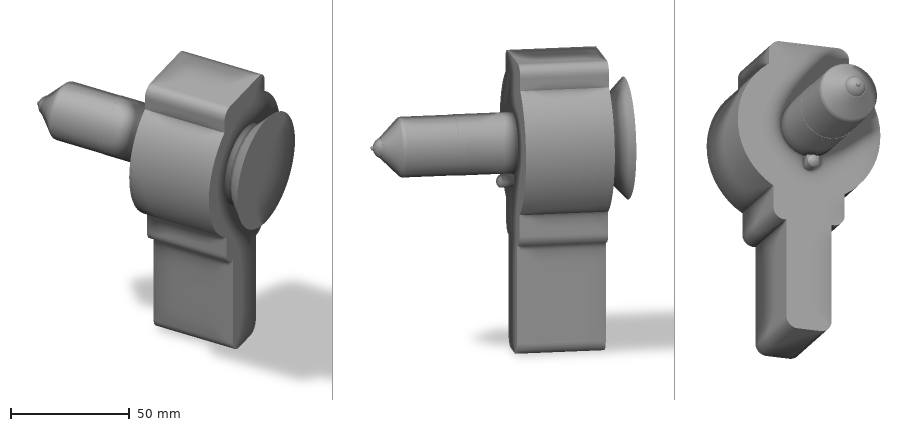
import cadquery as cq
import math


housing_length = 38.0
housing_radius = 32.0
corner_radius = 5.0
top_tab_width = 36.0
top_tab_height = 37.0
boss_width = 32.0
boss_depth = 42.2
handle_width = 20.2
handle_depth = 90.0

bushing_radius = 15.5

nose_radius = 12.8
shaft_radius = 13.0
nose_length = 23.4
nose_shoulder_x = -25.0
nose_blend_radius = 2.0
cone_tip_radius = 4.7
nose_cone_length = nose_radius - cone_tip_radius
cone_base_x = nose_shoulder_x - nose_length
cone_tip_x = cone_base_x - nose_cone_length

ring_width = 1.1
ring_depth = 1.3
ring_front_x = [-23.5, -5.0]

ball_radius = 4.7
ball_center_x = -55.1
nub_radius = 1.0
nub_tip_x = -60.7
nub_round = 0.6

key_radius = 2.7
key_center_z = -16.5
key_block_length = 5.0
key_neck_length = 0.8
key_dome_height = 1.4

flange_radius = 17.9
flange_length = 2.5
knob_rear_radius = 25.9
knob_cone_length = 7.7


def disc(radius, x_start, length):
    """Cylinder on the shaft axis, running toward +X from x_start."""
    return cq.Workplane("YZ", origin=(x_start, 0, 0)).circle(radius).extrude(length)


def upright_block(width, z_low, z_high):
    """Block as long as the housing, centred on Y, between two heights."""
    height = z_high - z_low
    middle = (z_low + z_high) / 2
    return cq.Workplane("YZ", origin=(0, 0, middle)).rect(width, height).extrude(housing_length)


def make_housing():
    top_tab = upright_block(top_tab_width, 0, top_tab_height).edges("|X and >Z").fillet(corner_radius)
    boss = upright_block(boss_width, -boss_depth, 0).edges("|X and <Z").fillet(corner_radius)
    handle = upright_block(handle_width, -handle_depth, 0).edges("|X and <Z").fillet(corner_radius)
    body = disc(housing_radius, 0, housing_length).union(top_tab).union(boss).union(handle)
    return body.cut(disc(bushing_radius, 0, housing_length))


def make_bushing():
    return disc(bushing_radius, 0, housing_length).cut(disc(shaft_radius, 0, housing_length))


def make_ring(front_x):
    outer = disc(shaft_radius, front_x, ring_width)
    return outer.cut(disc(shaft_radius - ring_depth, front_x, ring_width))


def make_tip():
    ball = cq.Workplane("XY").sphere(ball_radius).translate((ball_center_x, 0, 0))
    nub = disc(nub_radius, nub_tip_x, ball_center_x - nub_tip_x).faces("<X").edges().fillet(nub_round)
    return ball.union(nub)


def make_shaft(rings, tip):
    """Stepped shaft with a blended conical nose, grooved for the rings and hollowed for the ball."""
    shaft = (
        cq.Workplane("XZ")
        .moveTo(cone_tip_x, 0)
        .lineTo(cone_tip_x, cone_tip_radius)
        .lineTo(cone_base_x, nose_radius)
        .lineTo(nose_shoulder_x, nose_radius)
        .lineTo(nose_shoulder_x, shaft_radius)
        .lineTo(housing_length, shaft_radius)
        .lineTo(housing_length, 0)
        .close()
        .revolve(360, (0, 0, 0), (1, 0, 0))
    )
    cone_base_edge = cq.NearestToPointSelector((cone_base_x, 0, 0))
    shaft = shaft.edges(cone_base_edge).fillet(nose_blend_radius)
    for ring in rings:
        shaft = shaft.cut(ring)
    return shaft.cut(tip)


def make_key():
    key_axis = (0, 0, key_center_z)
    block = (
        cq.Workplane("YZ", origin=key_axis)
        .moveTo(-key_radius, 0)
        .lineTo(-key_radius, key_radius)
        .lineTo(key_radius, key_radius)
        .lineTo(key_radius, 0)
        .threePointArc((0, -key_radius), (-key_radius, 0))
        .close()
        .extrude(-key_block_length)
    )
    neck_end = key_block_length + key_neck_length
    dome_radius = (key_radius**2 + key_dome_height**2) / (2 * key_dome_height)
    dome_center_x = dome_radius - key_dome_height - neck_end
    dome_mid_angle = math.asin(key_radius / dome_radius) / 2
    round_end = (
        cq.Workplane("XZ", origin=key_axis)
        .moveTo(-key_block_length, 0)
        .lineTo(-key_block_length, key_radius)
        .lineTo(-neck_end, key_radius)
        .threePointArc(
            (
                dome_center_x - dome_radius * math.cos(dome_mid_angle),
                dome_radius * math.sin(dome_mid_angle),
            ),
            (-neck_end - key_dome_height, 0),
        )
        .close()
        .revolve(360, (0, 0, 0), (1, 0, 0))
    )
    return block.union(round_end)


def make_knob():
    cone_front_x = housing_length + flange_length
    knob_rear_x = cone_front_x + knob_cone_length
    return (
        cq.Workplane("XY")
        .moveTo(housing_length, 0)
        .lineTo(housing_length, flange_radius)
        .lineTo(cone_front_x, flange_radius)
        .lineTo(knob_rear_x, knob_rear_radius)
        .lineTo(knob_rear_x, 0)
        .close()
        .revolve(360, (0, 0, 0), (1, 0, 0))
    )


housing = make_housing()
bushing = make_bushing()
rings = [make_ring(front_x) for front_x in ring_front_x]
tip = make_tip()
shaft = make_shaft(rings, tip)
key = make_key()
knob = make_knob()

result = cq.Compound.makeCompound(
    [
        housing.val(),
        bushing.val(),
        shaft.val(),
        *[ring.val() for ring in rings],
        tip.val(),
        key.val(),
        knob.val(),
    ]
)